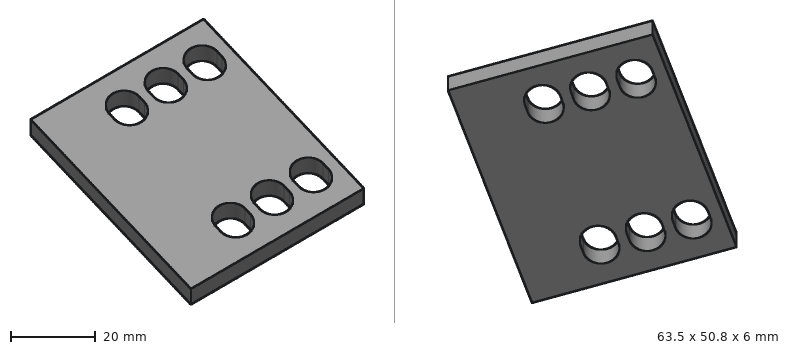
import cadquery as cq

plate_length = 63.5
plate_width = 50.8
plate_thickness = 6.0

slot_length = 10.8
slot_width = 8.7
column_spacing = 42.05
row_pitch = 11.4
rows = 3
top_row_edge_distance = 7.6

top_row_y = plate_width / 2 - top_row_edge_distance
slot_centers = [
    (side * column_spacing / 2, top_row_y - row * row_pitch)
    for side in (-1, 1)
    for row in range(rows)
]

plate = cq.Workplane("XY").box(plate_length, plate_width, plate_thickness)

result = (
    plate.faces(">Z")
    .workplane()
    .pushPoints(slot_centers)
    .slot2D(slot_length, slot_width)
    .cutThruAll()
)